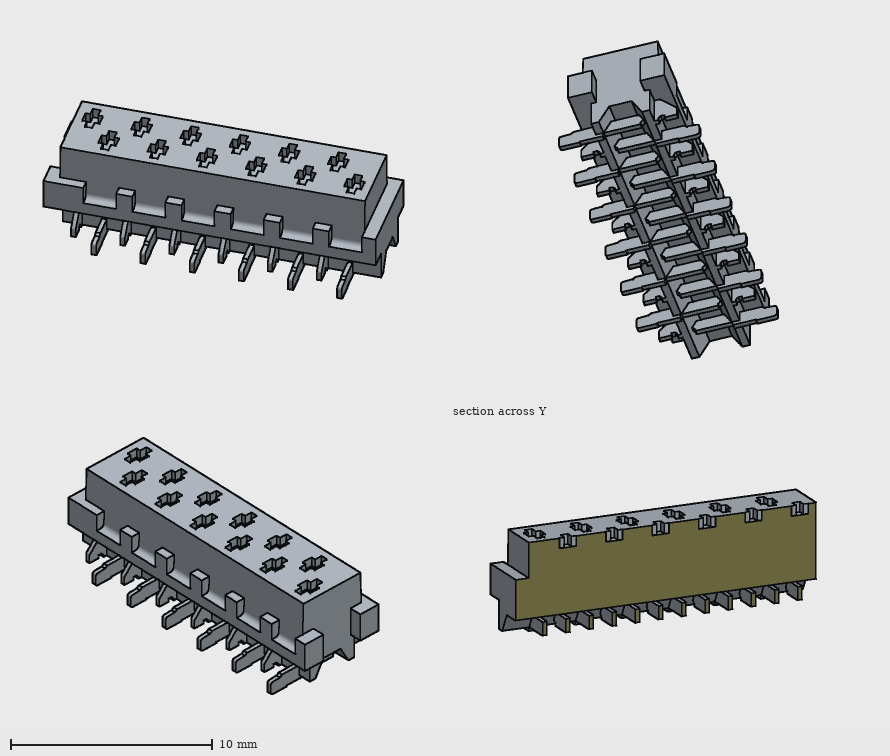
import cadquery as cq

CONTACT_COUNT = 12
PITCH = 1.27
ROW_OFFSET = 0.75

HOUSING_LENGTH = 15.75
HOUSING_TOP_WIDTH = 3.88
HOUSING_ROOT_WIDTH = 4.06
TOTAL_HEIGHT = 5.25

FLANGE_LENGTH = 17.17
FLANGE_WIDTH = 5.02
FLANGE_LEFT_OVERHANG = 0.71
FLANGE_BOTTOM = 1.79
FLANGE_TOP = 3.40
END_GAP_WIDTH = 2.52

NOTCH_LENGTH = 1.70
NOTCH_FLOOR = 2.45
NOTCH_FILLET = 0.26

BASE_WIDTH = 3.04
BASE_BOTTOM = 0.28
CHANNEL_TOP = 1.26
CHANNEL_TOP_WIDTH = 1.16
CHANNEL_BOTTOM_WIDTH = 2.24

SOCKET_SPAN_X = 0.90
SOCKET_SPAN_Y = 1.49
SOCKET_ARM_X = 0.40
SOCKET_ARM_Y = 0.62
SOCKET_DEPTH = 0.53

CONTACT_THICKNESS = 0.25
CONTACT_ANCHOR = 1.40
LEAD_REACH = 3.45
LEAD_ROOT_TOP = 0.89
LEAD_STEP_START = 2.68
LEAD_STEP_END = 2.83
LEAD_STEP_TOP = 0.78
LEAD_TIP_TOP = 0.74
LEAD_TIP_RADIUS = 0.14
LEAD_FOOT_START = 2.37
LEAD_HEEL_BOTTOM = 0.06
LEAD_HEEL_OFFSET = 0.06
BRIDGE_TOP = 1.00
BRIDGE_END = 0.80
BRIDGE_END_RISE = 0.40
BRIDGE_WALL_ENTRY = 0.97
BRIDGE_WALL_HEIGHT = 0.58
STUB_REACH = 2.69
STUB_BOTTOM = 0.37
STUB_TOP = 0.88
STUB_RADIUS = 0.15
BRACE_ROOT = 1.82
RELIEF_START = 1.73
RELIEF_SLOPE_BOTTOM = 0.40
RELIEF_PEAK = 1.85
RELIEF_END = 2.05
RELIEF_TOP = 0.54

HOUSING_LEFT = -HOUSING_LENGTH / 2
FLANGE_LEFT = HOUSING_LEFT - FLANGE_LEFT_OVERHANG
FLANGE_RIGHT = FLANGE_LEFT + FLANGE_LENGTH


def block(x_min, x_max, y_min, y_max, z_min, z_max):
    """Axis-aligned box given by its limits."""
    size = (x_max - x_min, y_max - y_min, z_max - z_min)
    return cq.Workplane("XY").box(*size, centered=False).translate((x_min, y_min, z_min))


def extrude_profile(points, x_min, x_max):
    """Extrude a closed (y, z) outline along X."""
    return cq.Workplane("YZ").workplane(offset=x_min).polyline(points).close().extrude(x_max - x_min)


def turned(shape):
    """Copy given a half turn about the vertical centre axis."""
    return shape.rotate((0, 0, 0), (0, 0, 1), 180)


def make_housing():
    top = HOUSING_TOP_WIDTH / 2
    root = HOUSING_ROOT_WIDTH / 2
    outline = [
        (-root, FLANGE_BOTTOM),
        (root, FLANGE_BOTTOM),
        (root, NOTCH_FLOOR),
        (top, TOTAL_HEIGHT),
        (-top, TOTAL_HEIGHT),
        (-root, NOTCH_FLOOR),
    ]
    return extrude_profile(outline, HOUSING_LEFT, -HOUSING_LEFT)


def make_flange():
    half = FLANGE_WIDTH / 2
    flange = block(FLANGE_LEFT, FLANGE_RIGHT, -half, half, FLANGE_BOTTOM, FLANGE_TOP)
    half_gap = END_GAP_WIDTH / 2
    return flange.cut(block(FLANGE_LEFT, HOUSING_LEFT, -half_gap, half_gap, FLANGE_BOTTOM, FLANGE_TOP))


def make_notch(x_min):
    """Cutter for one rim notch on the -Y side, with a concave fillet at its inner floor edge."""
    draft = (HOUSING_ROOT_WIDTH - HOUSING_TOP_WIDTH) / 2 / (TOTAL_HEIGHT - NOTCH_FLOOR)
    inner_floor = -HOUSING_ROOT_WIDTH / 2
    inner_top = inner_floor + draft * (FLANGE_TOP - NOTCH_FLOOR)
    outer = -FLANGE_WIDTH / 2
    outline = [
        (outer, NOTCH_FLOOR),
        (inner_floor, NOTCH_FLOOR),
        (inner_top, FLANGE_TOP),
        (outer, FLANGE_TOP),
    ]
    notch = extrude_profile(outline, x_min, x_min + NOTCH_LENGTH)
    x_mid = x_min + NOTCH_LENGTH / 2
    inner_floor_edge = cq.selectors.NearestToPointSelector((x_mid, inner_floor, NOTCH_FLOOR))
    return notch.edges(inner_floor_edge).fillet(NOTCH_FILLET)


def cut_notches(body):
    last_notch = HOUSING_LENGTH / 2 - NOTCH_LENGTH
    for index in range(CONTACT_COUNT // 2):
        notch = make_notch(last_notch - index * 2 * PITCH)
        body = body.cut(notch).cut(turned(notch))
    return body


def make_base():
    half = BASE_WIDTH / 2
    channel_top = CHANNEL_TOP_WIDTH / 2
    channel_bottom = CHANNEL_BOTTOM_WIDTH / 2
    outline = [
        (-half, BASE_BOTTOM),
        (-channel_bottom, BASE_BOTTOM),
        (-channel_top, CHANNEL_TOP),
        (channel_top, CHANNEL_TOP),
        (channel_bottom, BASE_BOTTOM),
        (half, BASE_BOTTOM),
        (half, FLANGE_BOTTOM),
        (-half, FLANGE_BOTTOM),
    ]
    return extrude_profile(outline, HOUSING_LEFT, FLANGE_RIGHT)


def make_socket(x, y):
    """Cross-shaped cutter sunk from the top face."""
    return (
        cq.Workplane("XY", origin=(x, y, TOTAL_HEIGHT))
        .rect(SOCKET_SPAN_X, SOCKET_ARM_Y)
        .extrude(-SOCKET_DEPTH)
        .union(
            cq.Workplane("XY", origin=(x, y, TOTAL_HEIGHT))
            .rect(SOCKET_ARM_X, SOCKET_SPAN_Y)
            .extrude(-SOCKET_DEPTH)
        )
    )


def make_contact(x):
    """Contact with its solder lead toward +Y and a braced stub toward -Y."""
    channel_edge = CHANNEL_BOTTOM_WIDTH / 2
    outline = [
        (CONTACT_ANCHOR, LEAD_ROOT_TOP),
        (LEAD_STEP_START, LEAD_ROOT_TOP),
        (LEAD_STEP_END, LEAD_STEP_TOP),
        (LEAD_REACH, LEAD_TIP_TOP),
        (LEAD_REACH, 0),
        (LEAD_FOOT_START, 0),
        (LEAD_FOOT_START, LEAD_HEEL_BOTTOM),
        (channel_edge + LEAD_HEEL_OFFSET, LEAD_HEEL_BOTTOM),
        (channel_edge, BASE_BOTTOM),
        (-BRIDGE_END, BASE_BOTTOM),
        (-BRIDGE_END, BRIDGE_END_RISE),
        (-BRIDGE_WALL_ENTRY, BRIDGE_WALL_HEIGHT),
        (-CONTACT_ANCHOR, BRIDGE_WALL_HEIGHT),
        (-CONTACT_ANCHOR, BASE_BOTTOM),
        (-RELIEF_START, BASE_BOTTOM),
        (-RELIEF_START, RELIEF_SLOPE_BOTTOM),
        (-RELIEF_PEAK, RELIEF_TOP),
        (-RELIEF_END, RELIEF_TOP),
        (-RELIEF_END, STUB_BOTTOM),
        (-STUB_REACH, STUB_BOTTOM),
        (-STUB_REACH, STUB_TOP),
        (-BRACE_ROOT, FLANGE_BOTTOM),
        (-CONTACT_ANCHOR, FLANGE_BOTTOM),
        (-CONTACT_ANCHOR, BRIDGE_TOP),
        (CONTACT_ANCHOR, BRIDGE_TOP),
    ]
    half = CONTACT_THICKNESS / 2
    contact = extrude_profile(outline, x - half, x + half)
    contact = contact.edges("|X and >Y").fillet(LEAD_TIP_RADIUS)
    stub_corner = cq.selectors.NearestToPointSelector((x, -STUB_REACH, STUB_TOP))
    return contact.edges(stub_corner).fillet(STUB_RADIUS)


result = cut_notches(make_flange().union(make_housing())).union(make_base())
first_contact = -(CONTACT_COUNT - 1) / 2 * PITCH
for pair in range(CONTACT_COUNT // 2):
    contact_x = first_contact + pair * 2 * PITCH
    contact = make_contact(contact_x)
    socket = make_socket(contact_x, ROW_OFFSET)
    result = result.union(contact).union(turned(contact))
    result = result.cut(socket).cut(turned(socket))